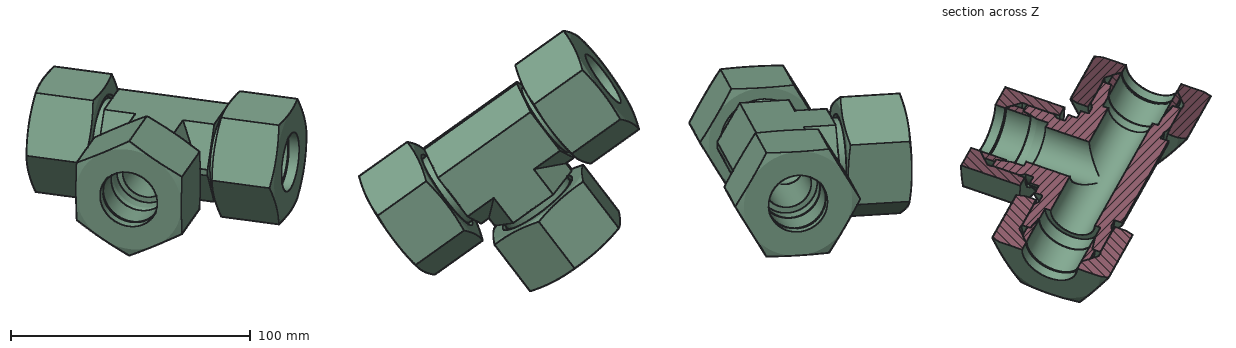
import cadquery as cq
import math

port_reach = 54.0
nut_length = 27.0
nut_flats = 46.0
run_nut_turn = 0.0
branch_nut_turn = 90.0
nut_chamfer_angle = 15.0

block_flats = 36.0
block_width = 40.0
block_reach = 24.0
neck_diameter = 33.0
neck_reach = 27.4
thread_diameter = 36.0
thread_lead_angle = 32.0
shank_reach = 42.0
flow_diameter = 20.0

tube_diameter = 25.0
tube_stop = 30.0
run_ring_nose = 36.0
branch_ring_nose = 38.0
ring_end = 49.1
ring_head_diameter = 31.0
clamp_start = 49.6
clamp_half_angle = 45.0
cone_half_angle = 12.0
cone_mouth_diameter = 28.0

branch_turn = 0.0
run_turns = (-90.0, 90.0)
port_turns = (branch_turn, *run_turns)

corners_per_flats = 1 / math.cos(math.pi / 6)

seat_slope = math.tan(math.radians(cone_half_angle))
lead_slope = math.tan(math.radians(thread_lead_angle))
clamp_slope = math.tan(math.radians(clamp_half_angle))

nut_start = port_reach - nut_length
thread_start = neck_reach + (thread_diameter - neck_diameter) / 2 / lead_slope
seat_start = shank_reach - (cone_mouth_diameter - tube_diameter) / 2 / seat_slope


def seat_radius(height):
    """Radius of the ring seat in the shank."""
    return cone_mouth_diameter / 2 - (shank_reach - height) * seat_slope


def clamp_radius(height):
    """Radius of the clamping cone in the nut."""
    return tube_diameter / 2 + (clamp_start - height) * clamp_slope


def clamp_height(radius):
    """Height at which the clamping cone has a given radius."""
    return clamp_start - (radius - tube_diameter / 2) / clamp_slope


def hexagon(across_flats, length):
    """Hexagonal prism along +Z from the origin, with corners on the X axis."""
    return cq.Workplane("XY").polygon(6, across_flats * corners_per_flats).extrude(length)


def turned(profile):
    """Solid of revolution about Z from (radius, height) points."""
    return cq.Workplane("XZ").polyline(profile).close().revolve(360, (0, 0), (0, 1))


def at_port(shape, turn):
    """Lay a shape built along +Z onto the -Y branch, then turn it to its port."""
    return shape.rotate((0, 0, 0), (1, 0, 0), 90).rotate((0, 0, 0), (0, 0, 1), turn)


def make_block_arm(length):
    """Bar along +Z: hexagon with its side corners cut flat, flats facing Y."""
    trim = cq.Workplane("XY").rect(block_width, block_flats).extrude(length)
    return hexagon(block_flats, length).intersect(trim)


def make_seat():
    """Cavity of one port: flow bore, tube socket and conical ring seat."""
    return turned([
        (0, 0),
        (flow_diameter / 2, 0),
        (flow_diameter / 2, tube_stop),
        (tube_diameter / 2, tube_stop),
        (tube_diameter / 2, seat_start),
        (cone_mouth_diameter / 2, shank_reach),
        (0, shank_reach),
    ])


def make_shank():
    """Round port stub from the tee centre: plain neck, then the thread diameter."""
    return turned([
        (0, 0),
        (neck_diameter / 2, 0),
        (neck_diameter / 2, neck_reach),
        (thread_diameter / 2, thread_start),
        (thread_diameter / 2, shank_reach),
        (0, shank_reach),
    ])


def make_tee():
    tee_body = at_port(make_block_arm(block_reach), branch_turn)
    for turn in run_turns:
        tee_body = tee_body.union(at_port(make_block_arm(block_reach), turn))
    for turn in port_turns:
        tee_body = tee_body.union(at_port(make_shank(), turn))
    for turn in port_turns:
        tee_body = tee_body.cut(at_port(make_seat(), turn))
    return tee_body


def make_ring(nose):
    """Clamping ring: tapered nose in the shank, wider head clamped by the nut."""
    head_radius = ring_head_diameter / 2
    return turned([
        (tube_diameter / 2, nose),
        (seat_radius(nose), nose),
        (cone_mouth_diameter / 2, shank_reach),
        (head_radius, shank_reach),
        (head_radius, clamp_height(head_radius)),
        (clamp_radius(ring_end), ring_end),
        (tube_diameter / 2, ring_end),
    ])


def make_nut(corner_turn):
    """Union nut with both ends chamfered to a circle as wide as the flats."""
    face_radius = nut_flats / 2
    corner_radius = face_radius * corners_per_flats
    chamfer_drop = (corner_radius - face_radius) * math.tan(math.radians(nut_chamfer_angle))
    envelope = turned([
        (0, nut_start),
        (face_radius, nut_start),
        (corner_radius, nut_start + chamfer_drop),
        (corner_radius, port_reach - chamfer_drop),
        (face_radius, port_reach),
        (0, port_reach),
    ])
    prism = hexagon(nut_flats, nut_length).rotate((0, 0, 0), (0, 0, 1), corner_turn)
    nut = prism.translate((0, 0, nut_start)).intersect(envelope)
    bore_radius = thread_diameter / 2
    cavity = turned([
        (0, nut_start),
        (bore_radius, nut_start),
        (bore_radius, clamp_height(bore_radius)),
        (tube_diameter / 2, clamp_start),
        (tube_diameter / 2, port_reach),
        (0, port_reach),
    ])
    return nut.cut(cavity)


tee = make_tee()
nuts = [at_port(make_nut(branch_nut_turn), branch_turn)]
rings = [at_port(make_ring(branch_ring_nose), branch_turn)]
for turn in run_turns:
    nuts.append(at_port(make_nut(run_nut_turn), turn))
    rings.append(at_port(make_ring(run_ring_nose), turn))

result = cq.Compound.makeCompound([
    tee.val(),
    *[nut.val() for nut in nuts],
    *[ring.val() for ring in rings],
])